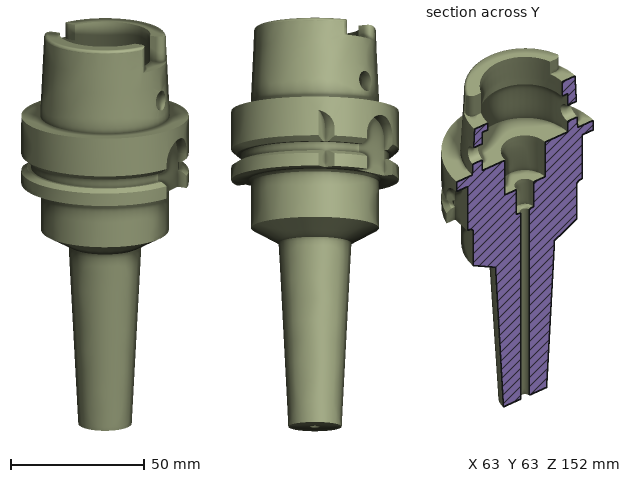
import cadquery as cq
import math

TOTAL_HEIGHT = 152.0
FLANGE_TOP = 120.2
FLANGE_BOTTOM = 94.0
NECK_TOP = 93.0
NECK_BOTTOM = 75.7
NOSE_TOP = 69.9

FLANGE_RADIUS = 31.5
TAPER_TOP_RADIUS = 22.8
TAPER_BASE_RADIUS = 24.3
NECK_COLLAR_RADIUS = 25.0
NECK_RADIUS = 24.0
NOSE_TOP_RADIUS = 13.7
NOSE_TIP_RADIUS = 10.0
TAPER_RIM_FILLET = 1.2

GROOVE_RADIUS = 27.8
GROOVE_UPPER_EDGE = 105.5
GROOVE_UPPER_FLOOR = 103.7
GROOVE_LOWER_FLOOR = 100.2
GROOVE_LOWER_EDGE = 98.8
GROOVE_LIP = 1.5

BORE_RADIUS = 17.0
BORE_LIP_DEPTH = 13.4
UNDERCUT_RADIUS = 19.5
BORE_FLOOR = FLANGE_TOP
TUBE_RADIUS = 9.1
TUBE_FLOOR = 103.4
PILOT_RADIUS = 4.0
PILOT_FLOOR = 91.2
COOLANT_RADIUS = 1.9
COOLANT_CHAMFER = 0.53

KEYWAY_WIDTH = 12.3
KEYWAY_CORNER_RADIUS = 2.5
KEYWAY_SHALLOW_DEPTH = 6.1
KEYWAY_DEEP_DEPTH = 9.9

CROSS_HOLE_RADIUS = 3.8
CROSS_HOLE_HEIGHT = 129.2

SLOT_RADIUS = 8.0
SLOT_CENTER_HEIGHT = 107.3
SLOT_FLOOR_X = 26.5
NOTCH_RADIUS = 7.0
NOTCH_CENTER_HEIGHT = 108.7
NOTCH_FLOOR_X = 19.9
NOTCH_SIDE_Y = 20.0


def revolve_profile(points):
    """Revolve a closed (radius, height) outline about Z."""
    return cq.Workplane("XZ").polyline(points).close().revolve(360, (0, 0, 0), (0, 1, 0))


def holder_body():
    body = revolve_profile([
        (0, 0),
        (NOSE_TIP_RADIUS, 0),
        (NOSE_TOP_RADIUS, NOSE_TOP),
        (NECK_RADIUS, NECK_BOTTOM),
        (NECK_RADIUS, NECK_TOP),
        (NECK_COLLAR_RADIUS, FLANGE_BOTTOM),
        (FLANGE_RADIUS, FLANGE_BOTTOM),
        (FLANGE_RADIUS, GROOVE_LOWER_EDGE),
        (GROOVE_RADIUS + GROOVE_LIP, GROOVE_LOWER_FLOOR),
        (GROOVE_RADIUS, GROOVE_LOWER_FLOOR),
        (GROOVE_RADIUS, GROOVE_UPPER_FLOOR),
        (GROOVE_RADIUS + GROOVE_LIP, GROOVE_UPPER_FLOOR),
        (FLANGE_RADIUS, GROOVE_UPPER_EDGE),
        (FLANGE_RADIUS, FLANGE_TOP),
        (TAPER_BASE_RADIUS, FLANGE_TOP),
        (TAPER_TOP_RADIUS, TOTAL_HEIGHT),
        (0, TOTAL_HEIGHT),
    ])
    return body.faces(">Z").edges().fillet(TAPER_RIM_FILLET)


def clamping_bore():
    lip_bottom = TOTAL_HEIGHT - BORE_LIP_DEPTH
    return revolve_profile([
        (0, 0),
        (COOLANT_RADIUS, 0),
        (COOLANT_RADIUS, PILOT_FLOOR - COOLANT_CHAMFER),
        (COOLANT_RADIUS + COOLANT_CHAMFER, PILOT_FLOOR),
        (PILOT_RADIUS, PILOT_FLOOR),
        (PILOT_RADIUS, TUBE_FLOOR),
        (TUBE_RADIUS, TUBE_FLOOR),
        (TUBE_RADIUS, BORE_FLOOR),
        (UNDERCUT_RADIUS, BORE_FLOOR),
        (UNDERCUT_RADIUS, lip_bottom),
        (BORE_RADIUS, lip_bottom),
        (BORE_RADIUS, TOTAL_HEIGHT),
        (0, TOTAL_HEIGHT),
    ])


def keyway(side, depth):
    """Rim keyway cutter toward +X (side=1) or -X (side=-1), flared by rounds at its mouth."""
    half_width = KEYWAY_WIDTH / 2
    flare_y = half_width + KEYWAY_CORNER_RADIUS
    inner_radius = TAPER_TOP_RADIUS - KEYWAY_CORNER_RADIUS
    round_x = math.sqrt(inner_radius**2 - flare_y**2)
    rim_ratio = TAPER_TOP_RADIUS / inner_radius
    rim_x = round_x * rim_ratio
    rim_y = flare_y * rim_ratio
    bisector = (math.atan2(flare_y, round_x) - math.pi / 2) / 2
    mid_x = round_x + KEYWAY_CORNER_RADIUS * math.cos(bisector)
    mid_y = flare_y + KEYWAY_CORNER_RADIUS * math.sin(bisector)
    return (
        cq.Workplane("XY", origin=(0, 0, TOTAL_HEIGHT - depth))
        .moveTo(0, -half_width)
        .lineTo(side * round_x, -half_width)
        .threePointArc((side * mid_x, -mid_y), (side * rim_x, -rim_y))
        .lineTo(side * FLANGE_RADIUS, -rim_y)
        .lineTo(side * FLANGE_RADIUS, rim_y)
        .lineTo(side * rim_x, rim_y)
        .threePointArc((side * mid_x, mid_y), (side * round_x, half_width))
        .lineTo(0, half_width)
        .close()
        .extrude(depth)
    )


def rounded_slot(center_y, radius, center_height, floor_x, side):
    """Round-topped slot cutter, open at the flange bottom and outward along X."""
    height = center_height - FLANGE_BOTTOM
    length = side * (FLANGE_RADIUS - floor_x)
    top = (
        cq.Workplane("YZ", origin=(side * floor_x, center_y, center_height))
        .circle(radius)
        .extrude(length)
    )
    straight = (
        cq.Workplane("YZ", origin=(side * floor_x, center_y, center_height - height / 2))
        .rect(2 * radius, height)
        .extrude(length)
    )
    return top.union(straight)


def cross_hole():
    return (
        cq.Workplane("YZ", origin=(0, 0, CROSS_HOLE_HEIGHT))
        .circle(CROSS_HOLE_RADIUS)
        .extrude(TAPER_BASE_RADIUS, both=True)
    )


result = holder_body().cut(clamping_bore()).cut(cross_hole())
result = result.cut(keyway(-1, KEYWAY_SHALLOW_DEPTH)).cut(keyway(1, KEYWAY_DEEP_DEPTH))
for slot_side in (-1, 1):
    result = result.cut(rounded_slot(0, SLOT_RADIUS, SLOT_CENTER_HEIGHT, SLOT_FLOOR_X, slot_side))
notch_center_y = NOTCH_SIDE_Y + NOTCH_RADIUS
result = result.cut(rounded_slot(notch_center_y, NOTCH_RADIUS, NOTCH_CENTER_HEIGHT, NOTCH_FLOOR_X, -1))